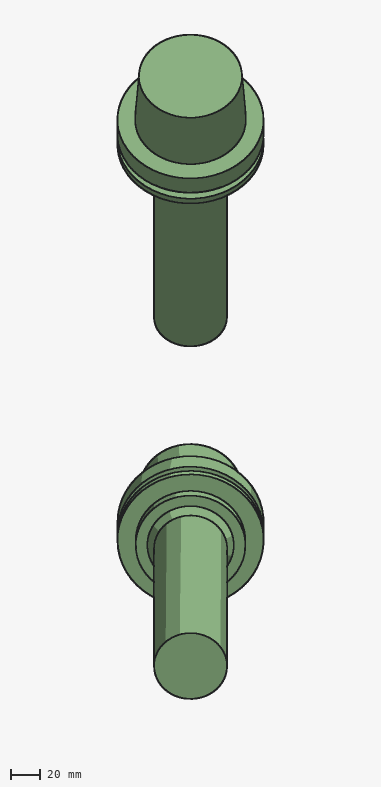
import cadquery as cq

total_height = 278.0
shank_diameter = 50.0
seat_diameter = 59.2
flange_diameter = 100.0
collar_diameter = 75.0
groove_diameter = 92.0
taper_base_diameter = 76.0
taper_top_diameter = 70.5

taper_height = 50.0
base_band_height = 2.0
flange_height = 29.0
collar_height = 7.5
seat_height = 5.3
groove_center_depth = 20.0
groove_floor_width = 3.5
groove_mouth_width = 6.7

flange_top = total_height - taper_height
flange_bottom = flange_top - flange_height
collar_bottom = flange_bottom - collar_height
seat_bottom = collar_bottom - seat_height
groove_center = flange_top - groove_center_depth


def make_body():
    """Revolve the shank, conical seat, collar, flange and tapered head about Z."""
    profile = [
        (0, 0),
        (shank_diameter / 2, 0),
        (shank_diameter / 2, seat_bottom),
        (seat_diameter / 2, collar_bottom),
        (collar_diameter / 2, collar_bottom),
        (collar_diameter / 2, flange_bottom),
        (flange_diameter / 2, flange_bottom),
        (flange_diameter / 2, flange_top),
        (taper_base_diameter / 2, flange_top),
        (taper_base_diameter / 2, flange_top + base_band_height),
        (taper_top_diameter / 2, total_height),
        (0, total_height),
    ]
    return cq.Workplane("XZ").polyline(profile).close().revolve(360, (0, 0), (0, 1))


def make_groove():
    """Ring with sloped flanks that cuts the gripper groove into the flange rim."""
    rim_radius = flange_diameter / 2
    floor_radius = groove_diameter / 2
    profile = [
        (rim_radius, groove_center - groove_mouth_width / 2),
        (floor_radius, groove_center - groove_floor_width / 2),
        (floor_radius, groove_center + groove_floor_width / 2),
        (rim_radius, groove_center + groove_mouth_width / 2),
    ]
    return cq.Workplane("XZ").polyline(profile).close().revolve(360, (0, 0), (0, 1))


result = make_body().cut(make_groove())